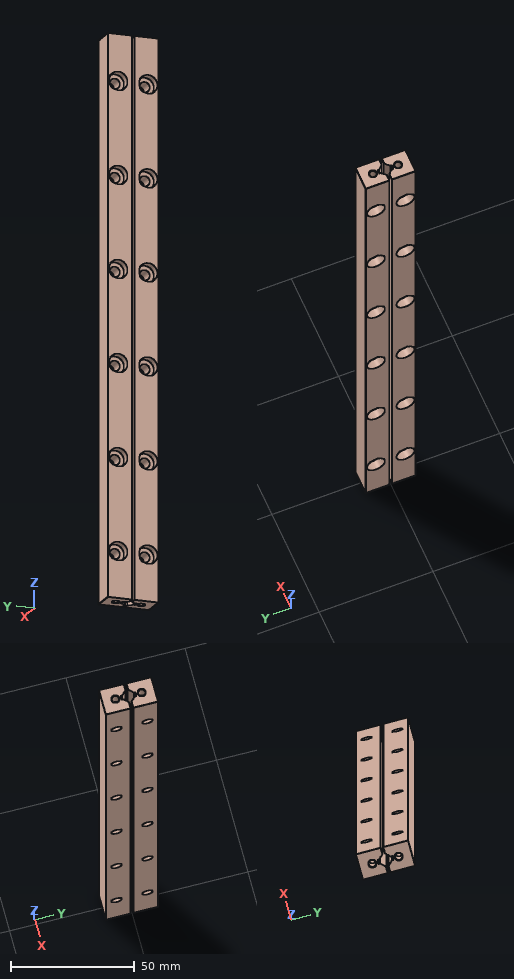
import cadquery as cq
import math

length = 240.0
thickness = 11.0
pair_width = 22.0
rail_gap = 1.0
long_edge_chamfer = 0.22
end_chamfer = 0.12

flank_width = 4.5
relief_width = 1.7
relief_depth = 3.0

hole_count = 6
hole_pitch = length / hole_count
hole_offset = 6.5
hole_diameter = 4.3
counterbore_diameter = 8.0
counterbore_depth = 4.0

end_hole_offset = 5.5
end_hole_diameter = 3.0
end_hole_depth = 7.2
drill_point_angle = 90.0
countersink_diameter = 3.4

inner_face = rail_gap / 2
outer_face = pair_width / 2
rail_width = outer_face - inner_face
groove_reach = flank_width / math.sqrt(2)
countersink_depth = (countersink_diameter - end_hole_diameter) / 2
drill_point_height = end_hole_diameter / 2 / math.tan(math.radians(drill_point_angle / 2))


def rail_bar():
    """Rectangular bar on the +Y side, with all its edges chamfered."""
    bar = cq.Workplane("XY").box(thickness, rail_width, length, centered=(True, False, False))
    bar = bar.edges("|Z").chamfer(long_edge_chamfer)
    bar = bar.faces("<Z or >Z").chamfer(end_chamfer)
    return bar.translate((0, inner_face, 0))


def roller_groove():
    """Vee groove and relief slot along the whole inner face."""
    vee = (
        cq.Workplane("XY")
        .polyline([(-groove_reach, 0), (groove_reach, 0), (0, groove_reach)])
        .close()
        .extrude(length)
    )
    relief = cq.Workplane("XY").box(relief_width, relief_depth, length, centered=(True, False, False))
    return vee.union(relief)


def mounting_hole(z):
    """Through hole along X, counterbored from the -X face."""
    start = cq.Workplane("YZ", origin=(-thickness / 2, hole_offset, z))
    bore = start.circle(hole_diameter / 2).extrude(thickness)
    counterbore = start.circle(counterbore_diameter / 2).extrude(counterbore_depth)
    return bore.union(counterbore)


def end_hole():
    """Blind countersunk hole with a conical drill point, going up from the lower end face."""
    profile = [
        (0, 0),
        (countersink_diameter / 2, 0),
        (end_hole_diameter / 2, countersink_depth),
        (end_hole_diameter / 2, end_hole_depth),
        (0, end_hole_depth + drill_point_height),
    ]
    hole = cq.Workplane("XZ").polyline(profile).close().revolve(360, (0, 0, 0), (0, 1, 0))
    return hole.translate((0, end_hole_offset, 0))


def make_rail():
    """Complete rail on the +Y side of the middle plane."""
    rail = rail_bar().cut(roller_groove())
    for index in range(hole_count):
        rail = rail.cut(mounting_hole((index + 0.5) * hole_pitch))
    lower_hole = end_hole()
    upper_hole = lower_hole.mirror("XY", (0, 0, length / 2))
    return rail.cut(lower_hole).cut(upper_hole)


right_rail = make_rail()
rails = [right_rail, right_rail.mirror("XZ")]

result = cq.Compound.makeCompound([rail.val() for rail in rails])